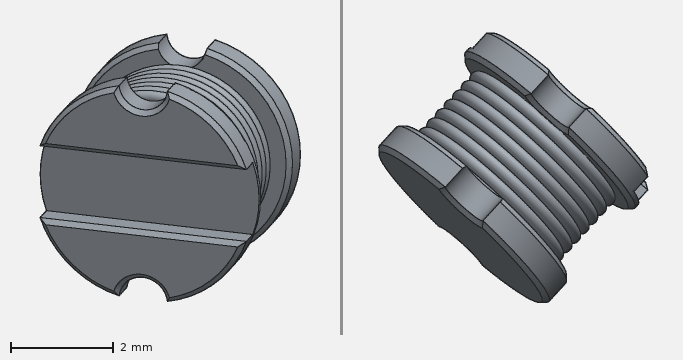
import cadquery as cq

flange_diameter = 4.5
core_length = 3.2
winding_window = 1.8
post_diameter = 3.0
edge_chamfer = 0.1

notch_radius = 0.5

slot_width = 1.5
slot_depth = 0.5

turn_count = 7
winding_length = 1.75
winding_outer_diameter = 3.75

flange_radius = flange_diameter / 2
flange_thickness = (core_length - winding_window) / 2
front_face_y = -core_length / 2
front_inner_y = front_face_y + flange_thickness
back_inner_y = front_inner_y + winding_window
wire_diameter = winding_length / turn_count
turn_radius = (winding_outer_diameter - wire_diameter) / 2


def cylinder_along_y(radius, start_y, length):
    """Solid cylinder on the Y axis, running from start_y toward +Y."""
    return cq.Workplane("XZ", origin=(0, start_y, 0)).circle(radius).extrude(-length)


def cut_wire_notches(flange, start_y):
    """Cut the two half-round notches, centred on the rim, through the flange."""
    rim_points = [(0, flange_radius), (0, -flange_radius)]
    cutters = (
        cq.Workplane("XZ", origin=(0, start_y, 0))
        .pushPoints(rim_points)
        .circle(notch_radius)
        .extrude(-flange_thickness)
    )
    return flange.cut(cutters)


def make_front_flange():
    """Slotted flange with every edge of its inner and outer faces chamfered."""
    flange = cylinder_along_y(flange_radius, front_face_y, flange_thickness)
    flange = cut_wire_notches(flange, front_face_y)
    slot_center_y = front_face_y + slot_depth / 2
    slot = cq.Workplane("XY").box(flange_diameter, slot_depth, slot_width)
    flange = flange.cut(slot.translate((0, slot_center_y, 0)))
    flange = flange.faces("<Y").edges().chamfer(edge_chamfer)
    return flange.faces(">Y").edges().chamfer(edge_chamfer)


def make_back_flange():
    """Plain flange whose notches are chamfered on the outer face only."""
    flange = cylinder_along_y(flange_radius, back_inner_y, flange_thickness)
    flange = flange.faces("<Y").edges().chamfer(edge_chamfer)
    flange = cut_wire_notches(flange, back_inner_y)
    return flange.faces(">Y").edges().chamfer(edge_chamfer)


def make_core():
    """Both flanges joined by the centre post."""
    post = cylinder_along_y(post_diameter / 2, front_inner_y, winding_window)
    return post.union(make_front_flange()).union(make_back_flange())


def make_wire_turn(center_y):
    """One closed ring of round wire around the Y axis."""
    wire_section = cq.Workplane("XY").center(turn_radius, center_y).circle(wire_diameter / 2)
    return wire_section.revolve(360, (-turn_radius, 0), (-turn_radius, 1))


core = make_core()

wire_turns = []
for turn in range(turn_count):
    turn_center_y = front_inner_y + (turn + 0.5) * wire_diameter
    wire_turns.append(make_wire_turn(turn_center_y).val())

result = cq.Compound.makeCompound([core.val(), *wire_turns])